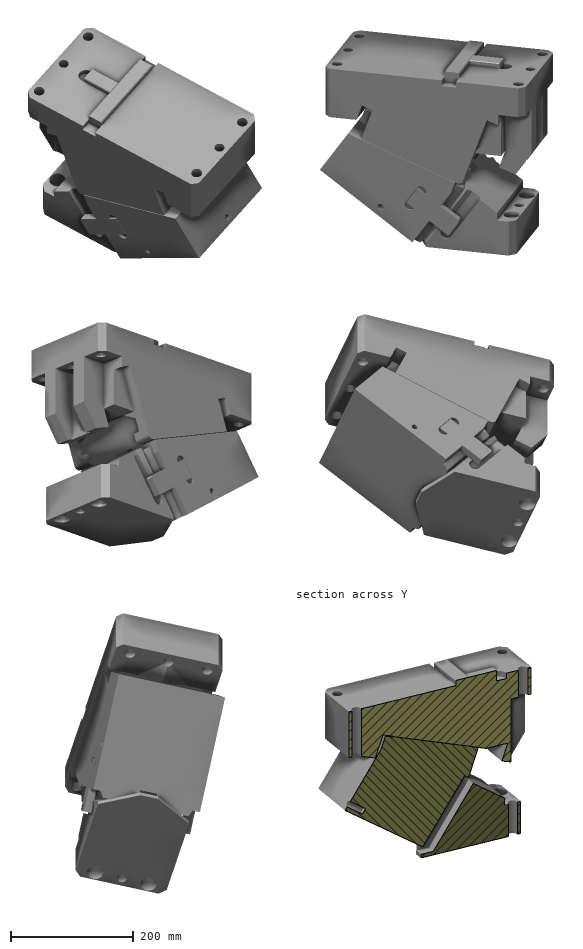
import cadquery as cq
import math

WIDTH = 180.0
HALF_WIDTH = WIDTH / 2
FAR = 416.8

GUIDE_ANGLE = math.radians(20)
GUIDE_X = 117.7
GUIDE_Z = 123.0
GUIDE_GAP = 1.0

RAMP_ANGLE = math.radians(35)
RAMP_X = 50.0
RAMP_Z = 72.5

HOLDER_LENGTH = 340.0
HOLDER_TOP = 299.7
PLATE_BOTTOM = 249.7
REAR_BOTTOM = 215.0
CORNER_X_FRONT = 10.8
CORNER_X_REAR = 9.0
CORNER_Y = 9.5
WALL_X = 44.8
BLOCK_BOTTOM = 170.5
SLANT_START = -11.5
TOE_RADIUS = 8.5
NOTCH_START = 170.0
NOTCH_END = 189.3
NOTCH_HEIGHT = 57.0
RIB_HEIGHT = 15.5
RIB_SIDE_HEIGHT = 38.2
POCKET_HEIGHT = 127.0
WEB_X = 37.5
HOOK_INNER_Y = 21.5
HOOK_OUTER_Y = 47.0
HOOK_TIP = (27.0, 131.3)
HOOK_TOE = (55.2, 140.5)
HOLE_DIAMETER = 17.7
CENTRE_HOLE_DIAMETER = 16.3
FRONT_HOLE_X = 15.3
FRONT_HOLE_Y = 70.0
REAR_HOLE_X = 325.0
REAR_HOLE_Y = 65.3

KEY_TOP = 309.0
KEY_SEAT_Z = 290.0
KEY_WIDTH = 25.0
KEY_CHAMFER = 1.5
CROSS_KEY_X = 128.0
CROSS_KEY_LENGTH = 146.0
LONG_KEY_START_X = 64.3
LONG_SLOT_START_X = 47.2

NECK_Y = 58.0
HEAD_Y = 71.0
HEAD_UNDERSIDE = 20.0
HEAD_SHOULDER = 43.0
CREST_Y = 43.8
CREST_HEIGHT = 56.3
HEAD_END = 184.8
HEAD_FOOT_END = 194.5

BASE_FRONT_X = 19.8
BASE_HALF_WIDTH = 77.0
BASE_CORNER = 10.8
STEP_Z = 59.5
PLINTH_Z = 7.3
BASE_HOLE_X = 34.5
BASE_HOLE_Y = 45.0
BASE_HOLE_DIAMETER = 26.7
BASE_PIN_DIAMETER = 16.3

WEDGE_START = 61.0
WEDGE_END = 90.3
WEDGE_TIP_Y = 14.5
WEDGE_SLOPE = (BASE_HALF_WIDTH - WEDGE_TIP_Y) / (WEDGE_END - WEDGE_START)
TIP_CHANNEL_START = 71.2
HOOK_GROOVE_START = 35.5
HOOK_GROOVE_WIDTH = 18.0
HOOK_GROOVE_DEPTH = 96.5
HOOK_GROOVE_Y = 69.8
HOOK_GROOVE_LIP = 2.8
HOOK_GROOVE_LIP_Y = 72.2
HOOK_GROOVE_FLARE = 9.0

SLIDE_FRONT = 79.2
SLIDE_REAR = 271.3
SLIDE_DEPTH = 131.0
TONGUE_FRONT = 39.5
TONGUE_TOP = 47.5
TONGUE_BOTTOM = 81.0
TONGUE_CHAMFER = 2.5
LINER_TOP = 5.0
LINER_FRONT = 68.8
LINER_CHAMFER_LENGTH = 9.0
LINER_CHAMFER_Y = 5.0
LINER_THICKNESS = 3.5
WEDGE_SEAT_RISE = 4.5
SIDE_HOLE = (156.0, 115.5)
SIDE_HOLE_DIAMETER = 10.0
SIDE_HOLE_DEPTH = 21.0
END_HOLE_DIAMETER = 9.7
END_HOLE_X = 340.5
END_HOLE_DEPTH = 34.7
CRESCENT_STATION = 119.8
CRESCENT_DEPTHS = (48.0, 80.5)
CRESCENT_RADIUS = 8.7
CRESCENT_POCKET = 5.2
LINK_WIDTH = 1.0


def guide_point(along, height):
    """X and Z of a point given along and above the guide."""
    x = GUIDE_X + along * math.cos(GUIDE_ANGLE) - height * math.sin(GUIDE_ANGLE)
    z = GUIDE_Z + along * math.sin(GUIDE_ANGLE) + height * math.cos(GUIDE_ANGLE)
    return (x, z)


def ramp_point(along, depth):
    """X and Z of a point given along and below the ramp."""
    x = RAMP_X + along * math.cos(RAMP_ANGLE) + depth * math.sin(RAMP_ANGLE)
    z = RAMP_Z + along * math.sin(RAMP_ANGLE) - depth * math.cos(RAMP_ANGLE)
    return (x, z)


def guide_on_ramp_station(station):
    """Point where a plane square to the ramp meets the guide line."""
    offset_x = RAMP_X - GUIDE_X
    offset_z = RAMP_Z - GUIDE_Z
    offset = offset_x * math.cos(RAMP_ANGLE) + offset_z * math.sin(RAMP_ANGLE)
    along = (station + offset) / math.cos(RAMP_ANGLE - GUIDE_ANGLE)
    return guide_point(along, 0)


def across(points, y_start, y_end):
    """Prism along Y with its outline in X and Z."""
    plane = cq.Plane(origin=(0, y_start, 0), xDir=(1, 0, 0), normal=(0, -1, 0))
    return cq.Workplane(plane).polyline(points).close().extrude(y_start - y_end)


def along_guide(points, start, end):
    """Prism along the guide with its outline in Y and height."""
    x, z = guide_point(start, 0)
    normal = (math.cos(GUIDE_ANGLE), 0, math.sin(GUIDE_ANGLE))
    plane = cq.Plane(origin=(x, 0, z), xDir=(0, 1, 0), normal=normal)
    return cq.Workplane(plane).polyline(points).close().extrude(end - start)


def below_ramp(points, top_depth, bottom_depth):
    """Prism square to the ramp with its outline in ramp station and Y."""
    x, z = ramp_point(0, bottom_depth)
    plane = cq.Plane(
        origin=(x, 0, z),
        xDir=(math.cos(RAMP_ANGLE), 0, math.sin(RAMP_ANGLE)),
        normal=(-math.sin(RAMP_ANGLE), 0, math.cos(RAMP_ANGLE)),
    )
    return cq.Workplane(plane).polyline(points).close().extrude(bottom_depth - top_depth)


def block(x_start, x_end, y_start, y_end, z_start, z_end):
    size = (x_end - x_start, y_end - y_start, z_end - z_start)
    return cq.Workplane().box(*size, centered=False).translate((x_start, y_start, z_start))


def with_mirror(shape):
    """A shape and its reflection in the middle plane Y = 0."""
    return shape.union(shape.mirror("XZ"))


def mirrored_outline(half):
    """Closes a half outline with its reflection in Y, given as (Y, height) points."""
    return half + [(-y, height) for y, height in reversed(half)]


def t_section(foot):
    """Ridged T-section of the slide's head, starting at the given height."""
    return mirrored_outline([
        (CREST_Y, CREST_HEIGHT),
        (HEAD_Y, HEAD_SHOULDER),
        (HEAD_Y, HEAD_UNDERSIDE),
        (NECK_Y, HEAD_UNDERSIDE),
        (NECK_Y, foot),
    ])


def holder_outline():
    slant_x = GUIDE_X + SLANT_START / math.cos(GUIDE_ANGLE)
    slant_x -= (BLOCK_BOTTOM - GUIDE_Z) * math.tan(GUIDE_ANGLE)
    rear_x = GUIDE_X + NOTCH_END / math.cos(GUIDE_ANGLE)
    rear_x -= (REAR_BOTTOM - GUIDE_Z) * math.tan(GUIDE_ANGLE)
    return [
        (0, HOLDER_TOP),
        (HOLDER_LENGTH, HOLDER_TOP),
        (HOLDER_LENGTH, REAR_BOTTOM),
        (rear_x, REAR_BOTTOM),
        guide_point(NOTCH_END, NOTCH_HEIGHT),
        guide_point(NOTCH_START, NOTCH_HEIGHT),
        guide_point(NOTCH_START, GUIDE_GAP),
        guide_point(SLANT_START, GUIDE_GAP),
        (slant_x, BLOCK_BOTTOM),
        (WALL_X, BLOCK_BOTTOM),
        (WALL_X, PLATE_BOTTOM),
        (0, PLATE_BOTTOM),
    ]


def holder_corner(x, length, side):
    """Triangular prism that chamfers one upright corner of the holder."""
    edge = side * HALF_WIDTH
    corner = [(x, edge), (x + length, edge), (x, edge - side * CORNER_Y)]
    return cq.Workplane().polyline(corner).close().extrude(FAR)


def side_pocket():
    """Clearance on one side, in front of the slanted face."""
    outline = [
        (WALL_X, BLOCK_BOTTOM - 3.5),
        guide_point(SLANT_START, 0),
        guide_point(SLANT_START, POCKET_HEIGHT),
        (WALL_X, guide_wall_z()),
    ]
    return across(outline, HEAD_Y, FAR)


def guide_wall_z():
    """Height at which the pocket ceiling meets the upright wall."""
    x, z = guide_point(SLANT_START, POCKET_HEIGHT)
    return z - (x - WALL_X) * math.tan(GUIDE_ANGLE)


def hooks():
    """Two hooks below the plate, joined by a set-back web."""
    outline = [
        (0, PLATE_BOTTOM),
        (0, BLOCK_BOTTOM),
        HOOK_TIP,
        HOOK_TOE,
        (WALL_X, BLOCK_BOTTOM),
        (WALL_X, PLATE_BOTTOM),
    ]
    full_width = across(outline, -HOOK_OUTER_Y, HOOK_OUTER_Y)
    return full_width.cut(block(0, WEB_X, -HOOK_INNER_Y, HOOK_INNER_Y, 0, PLATE_BOTTOM))


def rear_rib():
    """Shallow V-rib that hangs below the rear end of the holder."""
    section = [
        (0, RIB_HEIGHT),
        (HEAD_Y, RIB_SIDE_HEIGHT),
        (HEAD_Y, NOTCH_HEIGHT),
        (-HEAD_Y, NOTCH_HEIGHT),
        (-HEAD_Y, RIB_SIDE_HEIGHT),
    ]
    rear_along = (REAR_BOTTOM - GUIDE_Z) / math.sin(GUIDE_ANGLE)
    rear_along -= RIB_HEIGHT / math.tan(GUIDE_ANGLE)
    return along_guide(section, NOTCH_END, rear_along)


def cross_key():
    half_width = KEY_WIDTH / 2
    half_length = CROSS_KEY_LENGTH / 2
    key = block(CROSS_KEY_X - half_width, CROSS_KEY_X + half_width,
                -half_length, half_length, KEY_SEAT_Z, KEY_TOP)
    return key.edges("|Y and >Z").chamfer(KEY_CHAMFER)


def long_key():
    half_width = KEY_WIDTH / 2
    key_end = CROSS_KEY_X - half_width
    key = block(LONG_KEY_START_X, key_end, -half_width, half_width, KEY_SEAT_Z, KEY_TOP)
    return key.edges("|X and >Z").chamfer(KEY_CHAMFER)


def key_seats():
    half_width = KEY_WIDTH / 2
    cross_seat = block(CROSS_KEY_X - half_width, CROSS_KEY_X + half_width,
                       -FAR, FAR, KEY_SEAT_Z, FAR)
    round_x = LONG_SLOT_START_X + half_width
    long_seat = block(round_x, CROSS_KEY_X, -half_width, half_width, KEY_SEAT_Z, FAR)
    round_end = cq.Workplane().circle(half_width).extrude(FAR).translate((round_x, 0, KEY_SEAT_Z))
    return cross_seat.union(long_seat).union(round_end)


def holder_holes():
    outer = [
        (x, side * y)
        for x, y in ((FRONT_HOLE_X, FRONT_HOLE_Y), (REAR_HOLE_X, REAR_HOLE_Y))
        for side in (-1, 1)
    ]
    centre = [(FRONT_HOLE_X, 0), (REAR_HOLE_X, 0)]
    holes = cq.Workplane().pushPoints(outer).circle(HOLE_DIAMETER / 2).extrude(FAR)
    return holes.union(cq.Workplane().pushPoints(centre).circle(CENTRE_HOLE_DIAMETER / 2).extrude(FAR))


def make_holder():
    body = across(holder_outline(), -HALF_WIDTH, HALF_WIDTH)
    toe_x, toe_z = guide_point(SLANT_START, GUIDE_GAP)
    body = body.edges(cq.selectors.NearestToPointSelector((toe_x, 0, toe_z))).fillet(TOE_RADIUS)
    for side in (-1, 1):
        body = body.cut(holder_corner(0, CORNER_X_FRONT, side))
        body = body.cut(holder_corner(HOLDER_LENGTH, -CORNER_X_REAR, side))
    body = body.cut(with_mirror(side_pocket()))
    body = body.cut(along_guide(t_section(-FAR), -FAR, NOTCH_END))
    body = body.union(rear_rib())
    body = body.union(hooks())
    body = body.cut(holder_holes())
    body = body.cut(key_seats())
    return body.union(cross_key()).union(long_key())


def wedge_half_width(station):
    """Half width of the base's wedge at a ramp station."""
    return BASE_HALF_WIDTH - (station - WEDGE_START) * WEDGE_SLOPE


def wedge_relief(side):
    """Material beside one flank of the wedge."""
    flank = [
        (WEDGE_START, side * BASE_HALF_WIDTH),
        (WEDGE_END, side * WEDGE_TIP_Y),
        (FAR, side * WEDGE_TIP_Y),
        (FAR, side * FAR),
        (WEDGE_START, side * FAR),
    ]
    return below_ramp(flank, -FAR, FAR)


def base_rear_x():
    """X where the tip of the wedge comes down to the plinth."""
    tip_x, tip_z = ramp_point(WEDGE_END, 0)
    return tip_x + (tip_z - PLINTH_Z) * math.tan(RAMP_ANGLE)


def base_plan():
    """Plinth outline: chamfered front corners and the wedge at the rear."""
    rear_x = base_rear_x()
    wedge_x = rear_x - (WEDGE_END - WEDGE_START) / math.cos(RAMP_ANGLE)
    half = [
        (BASE_FRONT_X, BASE_HALF_WIDTH - BASE_CORNER),
        (BASE_FRONT_X + BASE_CORNER, BASE_HALF_WIDTH),
        (wedge_x, BASE_HALF_WIDTH),
        (rear_x, WEDGE_TIP_Y),
    ]
    outline = half + [(x, -y) for x, y in reversed(half)]
    return cq.Workplane().polyline(outline).close().extrude(FAR)


def hook_groove(side):
    """Round-ended groove in one base side, with a flared upper edge."""
    radius = HOOK_GROOVE_WIDTH / 2
    far_edge = HOOK_GROOVE_START + HOOK_GROOVE_WIDTH
    floor = side * HOOK_GROOVE_Y
    outline = [
        (HOOK_GROOVE_START, floor),
        (far_edge, floor),
        (far_edge + HOOK_GROOVE_LIP, side * HOOK_GROOVE_LIP_Y),
        (far_edge + HOOK_GROOVE_LIP + HOOK_GROOVE_FLARE, side * BASE_HALF_WIDTH),
        (HOOK_GROOVE_START, side * BASE_HALF_WIDTH),
    ]
    upper = below_ramp(outline, -3.5, TONGUE_BOTTOM - radius)
    lower = below_ramp(
        [
            (HOOK_GROOVE_START, floor),
            (far_edge, floor),
            (far_edge, side * BASE_HALF_WIDTH),
            (HOOK_GROOVE_START, side * BASE_HALF_WIDTH),
        ],
        0,
        HOOK_GROOVE_DEPTH - radius,
    )
    end_x, end_z = ramp_point(HOOK_GROOVE_START + radius, HOOK_GROOVE_DEPTH - radius)
    round_end = cq.Workplane("XZ", origin=(0, floor, 0)).center(end_x, end_z).circle(radius)
    return upper.union(lower).union(round_end.extrude(-side * FAR))


def base_holes():
    outer = [(BASE_HOLE_X, -BASE_HOLE_Y), (BASE_HOLE_X, BASE_HOLE_Y)]
    holes = cq.Workplane().pushPoints(outer).circle(BASE_HOLE_DIAMETER / 2).extrude(STEP_Z)
    return holes.union(cq.Workplane().center(BASE_HOLE_X, 0).circle(BASE_PIN_DIAMETER / 2).extrude(STEP_Z))


def make_base():
    rear_x = base_rear_x()
    outline = [
        (BASE_FRONT_X, 0),
        (rear_x, 0),
        (rear_x, PLINTH_Z),
        ramp_point(WEDGE_END, 0),
        (RAMP_X, RAMP_Z),
        (RAMP_X, STEP_Z),
        (BASE_FRONT_X, STEP_Z),
    ]
    body = across(outline, -HALF_WIDTH, HALF_WIDTH).intersect(base_plan())
    above_plinth = block(0, FAR, -FAR, FAR, PLINTH_Z, FAR)
    for side in (-1, 1):
        body = body.cut(wedge_relief(side).intersect(above_plinth))
        body = body.cut(hook_groove(side))
    tip_channel = [
        (TIP_CHANNEL_START, -WEDGE_TIP_Y),
        (FAR, -WEDGE_TIP_Y),
        (FAR, WEDGE_TIP_Y),
        (TIP_CHANNEL_START, WEDGE_TIP_Y),
    ]
    body = body.cut(below_ramp(tip_channel, -3.5, FAR).intersect(above_plinth))
    return body.cut(base_holes())


def nose_end():
    """Point where the nose face, square to the guide, meets the front face, square to the ramp."""
    offset_x = GUIDE_X - RAMP_X
    offset_z = GUIDE_Z - RAMP_Z
    corner_station = offset_x * math.cos(RAMP_ANGLE) + offset_z * math.sin(RAMP_ANGLE)
    drop = (corner_station - SLIDE_FRONT) / math.sin(RAMP_ANGLE - GUIDE_ANGLE)
    return guide_point(0, -drop)


def slide_body():
    outline = [
        guide_point(0, 0),
        guide_on_ramp_station(SLIDE_REAR),
        ramp_point(SLIDE_REAR, SLIDE_DEPTH),
        ramp_point(SLIDE_FRONT, SLIDE_DEPTH),
        nose_end(),
    ]
    return across(outline, -HALF_WIDTH, HALF_WIDTH)


def slide_head():
    square_end = along_guide(t_section(0), 0, HEAD_END)
    long_head = along_guide(t_section(0), 0, HEAD_FOOT_END)
    behind_rear = below_ramp([(SLIDE_REAR, -FAR), (FAR, -FAR), (FAR, FAR), (SLIDE_REAR, FAR)], -FAR, FAR)
    return square_end.union(long_head.cut(behind_rear))


def liner(side):
    """Tapered liner that lies along one flank of the base's wedge."""
    outline = [
        (LINER_FRONT, side * wedge_half_width(LINER_FRONT)),
        (LINER_FRONT, side * (BASE_HALF_WIDTH - LINER_CHAMFER_Y)),
        (LINER_FRONT + LINER_CHAMFER_LENGTH, side * BASE_HALF_WIDTH),
        (SLIDE_FRONT + LINER_THICKNESS, side * BASE_HALF_WIDTH),
        (WEDGE_END + LINER_THICKNESS, side * WEDGE_TIP_Y),
        (WEDGE_END, side * WEDGE_TIP_Y),
    ]
    return below_ramp(outline, LINER_TOP, SLIDE_DEPTH)


def wedge_recess():
    """Space for the base's wedge and the liners, with a flat roof above the ramp."""
    mouth_y = wedge_half_width(SLIDE_FRONT - LINER_THICKNESS)
    tip = WEDGE_END + LINER_THICKNESS
    outline = [
        (0, -mouth_y),
        (SLIDE_FRONT, -mouth_y),
        (tip, -WEDGE_TIP_Y),
        (tip, WEDGE_TIP_Y),
        (SLIDE_FRONT, mouth_y),
        (0, mouth_y),
    ]
    return below_ramp(outline, -WEDGE_SEAT_RISE, FAR)


def tongue():
    """Side tongue that reaches forward over the base's groove."""
    outline = [
        ramp_point(SLIDE_FRONT + 3.5, TONGUE_TOP),
        ramp_point(TONGUE_FRONT + TONGUE_CHAMFER, TONGUE_TOP),
        ramp_point(TONGUE_FRONT, TONGUE_TOP + TONGUE_CHAMFER),
        ramp_point(TONGUE_FRONT, TONGUE_BOTTOM),
        ramp_point(SLIDE_FRONT + 3.5, TONGUE_BOTTOM),
    ]
    return across(outline, BASE_HALF_WIDTH, HALF_WIDTH)


def crescent_pockets():
    """Two half-round pockets facing away from each other, linked by a fine groove."""
    floor = HALF_WIDTH - CRESCENT_POCKET
    upper, lower = CRESCENT_DEPTHS
    left = CRESCENT_STATION - CRESCENT_RADIUS
    right = CRESCENT_STATION + CRESCENT_RADIUS
    return (
        cq.Workplane("XZ", origin=(0, floor, 0))
        .moveTo(*ramp_point(left, upper))
        .threePointArc(ramp_point(CRESCENT_STATION, upper - CRESCENT_RADIUS), ramp_point(right, upper))
        .lineTo(*ramp_point(right, lower))
        .threePointArc(ramp_point(CRESCENT_STATION, lower + CRESCENT_RADIUS), ramp_point(left, lower))
        .lineTo(*ramp_point(right - LINK_WIDTH, lower))
        .lineTo(*ramp_point(right - LINK_WIDTH, upper))
        .close()
        .extrude(-FAR)
    )


def side_hole():
    x, z = ramp_point(*SIDE_HOLE)
    start = HALF_WIDTH - SIDE_HOLE_DEPTH
    hole = cq.Workplane("XZ", origin=(0, start, 0)).center(x, z).circle(SIDE_HOLE_DIAMETER / 2)
    return hole.extrude(-FAR)


def end_hole():
    """Blind hole square to the slide's rear end."""
    tip_x, tip_z = ramp_point(SLIDE_REAR, SLIDE_DEPTH)
    z = tip_z + (tip_x - END_HOLE_X) / math.tan(RAMP_ANGLE)
    inward = (-math.cos(RAMP_ANGLE), 0, -math.sin(RAMP_ANGLE))
    plane = cq.Plane(origin=(END_HOLE_X, 0, z), xDir=(0, 1, 0), normal=inward)
    return cq.Workplane(plane).circle(END_HOLE_DIAMETER / 2).extrude(END_HOLE_DEPTH)


def make_slide():
    body = slide_body().union(slide_head())
    body = body.cut(wedge_recess())
    for side in (-1, 1):
        body = body.union(liner(side))
    body = body.union(with_mirror(tongue()))
    body = body.cut(with_mirror(crescent_pockets()))
    body = body.cut(with_mirror(side_hole()))
    return body.cut(end_hole())


holder = make_holder()
slide = make_slide()
base = make_base()
result = cq.Compound.makeCompound([holder.val(), slide.val(), base.val()])